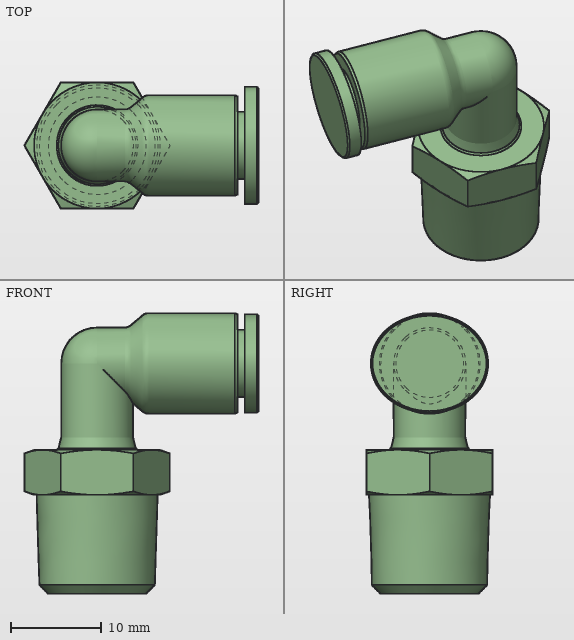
import cadquery as cq
import math

thread_height = 11.0
thread_top_radius = 6.74
thread_taper = 1 / 16
tip_chamfer = 1.0

hex_across_flats = 14.0
hex_height = 5.0
hex_chamfer_angle = math.radians(20)

elbow_radius = 4.0
body_radius = 5.6
total_height = 31.2
flare_top_z = 17.4
flare_bottom_z = 16.2
flare_radius = 4.3
foot_radius = 4.5

shoulder_start_x = 3.08
shoulder_angle = math.radians(40)
shoulder_blend_radius = 1.0
body_end_x = 15.6
body_end_chamfer_length = 0.3
body_end_chamfer_depth = 0.15
neck_radius = 3.75

ring_start_x = 16.4
ring_end_x = 17.95
ring_width = 13.05
ring_height = 10.97
ring_chamfer = 0.2

hex_corner_radius = hex_across_flats / math.sqrt(3)
hex_top_z = thread_height + hex_height
branch_z = total_height - body_radius


def make_thread():
    lower_radius = thread_top_radius - (thread_height - tip_chamfer) * thread_taper / 2
    return (
        cq.Workplane("XZ")
        .moveTo(0, 0)
        .lineTo(lower_radius - tip_chamfer, 0)
        .lineTo(lower_radius, tip_chamfer)
        .lineTo(thread_top_radius, thread_height)
        .lineTo(0, thread_height)
        .close()
        .revolve(360, (0, 0, 0), (0, 1, 0))
    )


def make_hexagon():
    """Hexagon with corners on the X axis, its corners turned off at both ends."""
    prism = (
        cq.Workplane("XY")
        .workplane(offset=thread_height)
        .polygon(6, 2 * hex_corner_radius)
        .extrude(hex_height)
    )
    face_radius = hex_across_flats / 2
    corner_drop = (hex_corner_radius - face_radius) * math.tan(hex_chamfer_angle)
    turned = (
        cq.Workplane("XZ")
        .moveTo(0, thread_height)
        .lineTo(face_radius, thread_height)
        .lineTo(hex_corner_radius, thread_height + corner_drop)
        .lineTo(hex_corner_radius, hex_top_z - corner_drop)
        .lineTo(face_radius, hex_top_z)
        .lineTo(0, hex_top_z)
        .close()
        .revolve(360, (0, 0, 0), (0, 1, 0))
    )
    return prism.intersect(turned)


def make_stem():
    """Vertical leg with a flared foot, reaching up to the branch axis."""
    return (
        cq.Workplane("XZ")
        .moveTo(0, thread_height)
        .lineTo(foot_radius, thread_height)
        .lineTo(foot_radius, hex_top_z)
        .lineTo(flare_radius, flare_bottom_z)
        .lineTo(elbow_radius, flare_top_z)
        .lineTo(elbow_radius, branch_z)
        .lineTo(0, branch_z)
        .close()
        .revolve(360, (0, 0, 0), (0, 1, 0))
    )


def make_branch():
    """Horizontal leg: elbow tube, blended conical shoulder, socket body and neck."""
    blend_length = shoulder_blend_radius * math.sin(shoulder_angle)
    blend_rise = shoulder_blend_radius * (1 - math.cos(shoulder_angle))
    half_length = shoulder_blend_radius * math.sin(shoulder_angle / 2)
    half_rise = shoulder_blend_radius * (1 - math.cos(shoulder_angle / 2))
    cone_rise = body_radius - elbow_radius - 2 * blend_rise
    cone_start_x = shoulder_start_x + blend_length
    cone_end_x = cone_start_x + cone_rise / math.tan(shoulder_angle)
    shoulder_end_x = cone_end_x + blend_length
    return (
        cq.Workplane("XZ", origin=(0, 0, branch_z))
        .moveTo(0, 0)
        .lineTo(0, elbow_radius)
        .lineTo(shoulder_start_x, elbow_radius)
        .threePointArc(
            (shoulder_start_x + half_length, elbow_radius + half_rise),
            (cone_start_x, elbow_radius + blend_rise),
        )
        .lineTo(cone_end_x, body_radius - blend_rise)
        .threePointArc(
            (shoulder_end_x - half_length, body_radius - half_rise),
            (shoulder_end_x, body_radius),
        )
        .lineTo(body_end_x - body_end_chamfer_length, body_radius)
        .lineTo(body_end_x, body_radius - body_end_chamfer_depth)
        .lineTo(body_end_x, neck_radius)
        .lineTo(ring_start_x, neck_radius)
        .lineTo(ring_start_x, 0)
        .close()
        .revolve(360, (0, 0, 0), (1, 0, 0))
    )


def make_release_ring():
    return (
        cq.Workplane("YZ", origin=(ring_start_x, 0, branch_z))
        .ellipse(ring_width / 2, ring_height / 2)
        .extrude(ring_end_x - ring_start_x)
        .faces(">X")
        .chamfer(ring_chamfer)
    )


def make_elbow_corner():
    return cq.Workplane("XY", origin=(0, 0, branch_z)).sphere(elbow_radius)


result = (
    make_thread()
    .union(make_hexagon())
    .union(make_stem())
    .union(make_elbow_corner())
    .union(make_branch())
    .union(make_release_ring())
)